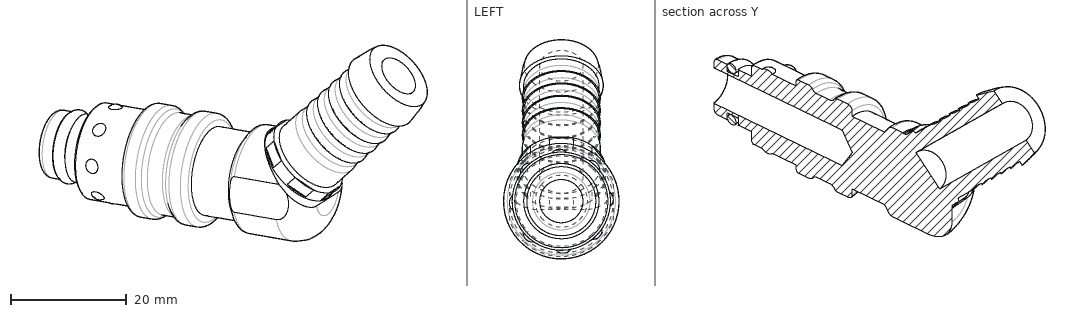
import cadquery as cq
import math


tip_radius = 11.95 / 2
tip_rounding = 1.0
groove_radius = 9.0 / 2
ring_thickness = 2.0
groove_start = 3.0
groove_end = 5.5

sleeve_start = 8.4
sleeve_radius = 17.0 / 2
sleeve_chamfer = 0.4
bump_count = 8
bump_turn = 2.5
bump_x = 12.0
bump_sphere_radius = 1.65
bump_tip_radius = 18 / 2

collar_radius = 20.0 / 2
waist_radius = 18 / 2
front_collar_start = 18.4
front_rounding = 0.65
front_collar_flat_end = 21.3
blend_length = 1.8
rear_collar_flat_start = 27.8
rear_collar_end = 31.1
rear_rounding = 1.0

stem_radius = 15.6 / 2
elbow_start = 38.25
elbow_chamfer_length = 1.3
elbow_edge_rounding = 1.0
elbow_radius = 9.55
elbow_end = 53.5
elbow_end_rounding = 5.25
elbow_flats_distance = 18

bend_x = 44.0
arm_angle = 45
seat_height = 5.7
seat_collar_radius = 7.6
seat_collar_top = 8.1
seat_cone_top = 8.55
hose_radius = 13.5 / 2
barb_root_radius = 13.0 / 2
first_barb = 13.1
barb_pitch = 3.0
barb_taper = 1.5
barb_count = 5
head_start = 28.25
head_radius = 7.25
head_bulge = 0.11
arm_end = 33.1
arm_end_radius = 6.4

flat_count = 6
flat_start = 6.0
flat_apothem = 7.3

bore_diameter = 7.5
plug_bore_depth = 28.75
drill_point_angle = 118


def blend_arc_middle(radius_at_crest, crest_x, direction, outward):
    """Middle of one of the two equal arcs that join a collar to the waist.

    direction is the X sense from the crest; outward is -1 where the arc bends towards the axis.
    """
    step = collar_radius - waist_radius
    blend_radius = (blend_length ** 2 + step ** 2) / (4 * step)
    half_angle = math.atan(step / blend_length)
    x = crest_x + direction * blend_radius * math.sin(half_angle)
    radius = radius_at_crest + outward * blend_radius * (1 - math.cos(half_angle))
    return x, radius


def revolve_about_x(profile):
    return profile.close().revolve(360, (0, 0, 0), (1, 0, 0))


def make_plug():
    """Tip, sleeve, collars and stem, turned about X."""
    middle_radius = (collar_radius + waist_radius) / 2
    waist_start = front_collar_flat_end + blend_length
    waist_end = rear_collar_flat_start - blend_length
    corner = 1 - math.sqrt(0.5)
    profile = (
        cq.Workplane("XY")
        .lineTo(0, tip_radius - tip_rounding)
        .threePointArc(
            (tip_rounding * corner, tip_radius - tip_rounding * corner),
            (tip_rounding, tip_radius),
        )
        .lineTo(groove_start, tip_radius)
        .lineTo(groove_start, groove_radius)
        .lineTo(groove_end, groove_radius)
        .lineTo(groove_end, tip_radius)
        .lineTo(sleeve_start, tip_radius)
        .lineTo(sleeve_start, sleeve_radius - sleeve_chamfer)
        .lineTo(sleeve_start + sleeve_chamfer, sleeve_radius)
        .lineTo(front_collar_start, sleeve_radius)
        .lineTo(front_collar_start, collar_radius - front_rounding)
        .threePointArc(
            (front_collar_start + front_rounding * corner, collar_radius - front_rounding * corner),
            (front_collar_start + front_rounding, collar_radius),
        )
        .lineTo(front_collar_flat_end, collar_radius)
        .threePointArc(
            blend_arc_middle(collar_radius, front_collar_flat_end, 1, -1),
            (front_collar_flat_end + blend_length / 2, middle_radius),
        )
        .threePointArc(
            blend_arc_middle(waist_radius, waist_start, -1, 1),
            (waist_start, waist_radius),
        )
        .lineTo(waist_end, waist_radius)
        .threePointArc(
            blend_arc_middle(waist_radius, waist_end, 1, 1),
            (waist_end + blend_length / 2, middle_radius),
        )
        .threePointArc(
            blend_arc_middle(collar_radius, rear_collar_flat_start, -1, -1),
            (rear_collar_flat_start, collar_radius),
        )
        .lineTo(rear_collar_end - rear_rounding, collar_radius)
        .threePointArc(
            (rear_collar_end - rear_rounding * corner, collar_radius - rear_rounding * corner),
            (rear_collar_end, collar_radius - rear_rounding),
        )
        .lineTo(rear_collar_end, stem_radius)
        .lineTo(elbow_start, stem_radius)
        .lineTo(elbow_start, 0)
    )
    return revolve_about_x(profile)


def make_bumps():
    """Spherical detent bumps, evenly spaced around the sleeve."""
    sphere_center_radius = bump_tip_radius - bump_sphere_radius
    bumps = cq.Workplane("XY")
    for index in range(bump_count):
        bump = (
            cq.Workplane("XY")
            .sphere(bump_sphere_radius)
            .translate((bump_x, 0, sphere_center_radius))
            .rotate((0, 0, 0), (1, 0, 0), index * 360 / bump_count - bump_turn)
        )
        bumps = bumps.add(bump)
    return bumps


def tilt_to_arm(shape):
    """Swing a shape built along X from the origin into the direction of the hose arm."""
    return shape.rotate((0, 0, 0), (0, 1, 0), -arm_angle).translate((bend_x, 0, 0))


def make_elbow():
    """Rounded block with two side flats, cut square to the hose arm."""
    profile = (
        cq.Workplane("XY")
        .moveTo(elbow_start, 0)
        .lineTo(elbow_start, stem_radius)
        .lineTo(elbow_start + elbow_chamfer_length, elbow_radius)
        .lineTo(elbow_end, elbow_radius)
        .lineTo(elbow_end, 0)
    )
    elbow = revolve_about_x(profile)
    elbow = elbow.faces(">X").edges().fillet(elbow_end_rounding)
    shoulder = cq.selectors.BoxSelector(
        (elbow_start + elbow_chamfer_length / 2, -elbow_radius, -elbow_radius),
        (elbow_start + 2 * elbow_chamfer_length, elbow_radius, elbow_radius),
    )
    elbow = elbow.edges("%CIRCLE").edges(shoulder).fillet(elbow_edge_rounding)
    flats = cq.Workplane("XY").box(2 * elbow_end, elbow_flats_distance, 4 * elbow_radius)
    above_seat = (
        cq.Workplane("XY")
        .box(4 * elbow_radius, 4 * elbow_radius, 4 * elbow_radius)
        .translate((seat_height + 2 * elbow_radius, 0, 0))
    )
    return elbow.intersect(flats).cut(tilt_to_arm(above_seat))


def make_seat_flats():
    """Cutter for the flats around the seat collar, along X."""
    length = seat_collar_top - flat_start
    depth = seat_collar_radius
    cutter = cq.Workplane("XY")
    for index in range(flat_count):
        block = (
            cq.Workplane("XY")
            .box(length, 2 * seat_collar_radius, depth)
            .translate((flat_start + length / 2, 0, flat_apothem + depth / 2))
            .rotate((0, 0, 0), (1, 0, 0), index * 360 / flat_count)
        )
        cutter = cutter.add(block)
    return cutter


def make_arm():
    """Seat collar, barbed hose stem and head, turned about X and tilted into place."""
    profile = (
        cq.Workplane("XY")
        .moveTo(seat_height, 0)
        .lineTo(seat_height, seat_collar_radius)
        .lineTo(seat_collar_top, seat_collar_radius)
        .lineTo(seat_cone_top, hose_radius)
    )
    for index in range(barb_count):
        barb_x = first_barb + index * barb_pitch
        if index > 0:
            profile = profile.lineTo(barb_x, barb_root_radius)
        profile = profile.lineTo(barb_x, hose_radius)
        profile = profile.lineTo(barb_x + barb_taper, barb_root_radius)
    head_middle = ((head_start + arm_end) / 2, (head_radius + arm_end_radius) / 2 + head_bulge)
    profile = (
        profile.lineTo(head_start, barb_root_radius)
        .lineTo(head_start, head_radius)
        .threePointArc(head_middle, (arm_end, arm_end_radius))
        .lineTo(arm_end, 0)
    )
    arm = revolve_about_x(profile)
    for flat in make_seat_flats().vals():
        arm = arm.cut(cq.Workplane(flat))
    bore = (
        cq.Workplane("YZ", origin=(seat_height, 0, 0))
        .circle(bore_diameter / 2)
        .extrude(arm_end - seat_height)
    )
    return tilt_to_arm(arm.cut(bore))


def make_plug_bore():
    """Blind bore with a conical drill point, entering from the plug tip."""
    bore_radius = bore_diameter / 2
    point_length = bore_radius / math.tan(math.radians(drill_point_angle / 2))
    profile = (
        cq.Workplane("XY")
        .lineTo(0, bore_radius)
        .lineTo(plug_bore_depth, bore_radius)
        .lineTo(plug_bore_depth + point_length, 0)
    )
    return revolve_about_x(profile)


def make_coupling():
    coupling = make_plug().union(make_elbow()).union(make_arm())
    for bump in make_bumps().vals():
        coupling = coupling.union(cq.Workplane(bump))
    return coupling.cut(make_plug_bore())


def make_o_ring():
    """O-ring resting on the groove floor, against the wall nearest the tip."""
    section_radius = ring_thickness / 2
    return (
        cq.Workplane("XY")
        .center(groove_start + section_radius, groove_radius + section_radius)
        .circle(section_radius)
        .revolve(360, (0, -groove_radius - section_radius, 0), (1, -groove_radius - section_radius, 0))
    )


coupling = make_coupling()
o_ring = make_o_ring()
result = cq.Compound.makeCompound([coupling.val(), o_ring.val()])